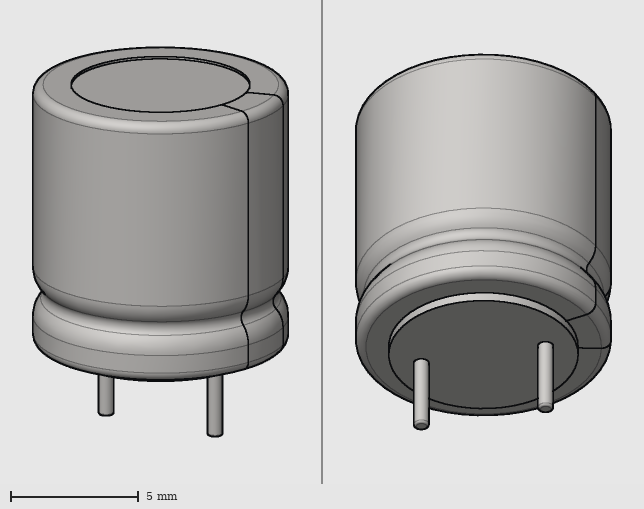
import cadquery as cq
import math


total_height = 14.0
case_diameter = 10.0
case_radius = case_diameter / 2
lead_length = 3.0

base_diameter = 7.4
base_thickness = 0.38

case_bottom = base_thickness
case_top = total_height - lead_length
rim_fillet = 0.39
can_diameter = 7.0
can_recess = 0.1

groove_depth = 0.4
groove_height = 2.5
groove_radius = 0.4
lip_radius = 1.06

stripe_angle = 30.0

lead_diameter = 0.6
lead_pitch = 5.0
lead_tip_fillet = 0.1


def make_case_envelope():
    """Outer shape of the sleeve: a filleted cylinder with a crimp groove."""
    centre_distance = lip_radius + groove_radius
    flank_angle = math.acos(1 - groove_depth / centre_distance)
    half_height = centre_distance * math.sin(flank_angle)
    floor_radius = case_radius - groove_depth
    lip_centre = case_radius - lip_radius

    joint_radius = lip_centre + lip_radius * math.cos(flank_angle)
    joint_offset = groove_radius * math.sin(flank_angle)
    lip_mid_radius = lip_centre + lip_radius * math.cos(flank_angle / 2)
    lip_mid_offset = half_height - lip_radius * math.sin(flank_angle / 2)

    profile = (
        cq.Workplane("XZ")
        .moveTo(0, case_bottom)
        .lineTo(case_radius, case_bottom)
        .lineTo(case_radius, groove_height - half_height)
        .threePointArc(
            (lip_mid_radius, groove_height - lip_mid_offset),
            (joint_radius, groove_height - joint_offset),
        )
        .threePointArc(
            (floor_radius, groove_height),
            (joint_radius, groove_height + joint_offset),
        )
        .threePointArc(
            (lip_mid_radius, groove_height + lip_mid_offset),
            (case_radius, groove_height + half_height),
        )
        .lineTo(case_radius, case_top)
        .lineTo(0, case_top)
        .close()
    )
    envelope = profile.revolve(360, (0, 0, 0), (0, 1, 0))
    return envelope.faces("<Z or >Z").edges().fillet(rim_fillet)


def make_sleeve_ring():
    """Full sleeve around the can, before the stripe is separated."""
    bore = cq.Workplane("XY").circle(can_diameter / 2).extrude(case_top)
    return make_case_envelope().cut(bore)


def make_stripe_sector():
    """Wedge on the +X side that divides the stripe from the sleeve."""
    reach = case_diameter
    half_width = reach * math.tan(math.radians(stripe_angle / 2))
    return (
        cq.Workplane("XY")
        .polyline([(0, 0), (reach, -half_width), (reach, half_width)])
        .close()
        .extrude(case_top)
    )


def make_can():
    """Aluminium can, its top slightly below the sleeve rim."""
    can_height = case_top - can_recess - case_bottom
    return cq.Workplane("XY").workplane(offset=case_bottom).circle(can_diameter / 2).extrude(can_height)


def make_base():
    """Plastic disc under the case."""
    return cq.Workplane("XY").circle(base_diameter / 2).extrude(base_thickness)


def make_lead(x):
    """Round lead below the base, with a rounded tip."""
    lead = cq.Workplane("XY").center(x, 0).circle(lead_diameter / 2).extrude(-lead_length)
    return lead.faces("<Z").edges().fillet(lead_tip_fillet)


sleeve_ring = make_sleeve_ring()
stripe_sector = make_stripe_sector()
sleeve = sleeve_ring.cut(stripe_sector)
stripe = sleeve_ring.intersect(stripe_sector)
can = make_can()
base = make_base()
leads = [make_lead(side * lead_pitch / 2) for side in (-1, 1)]

result = cq.Compound.makeCompound(
    [
        sleeve.solids().val(),
        stripe.solids().val(),
        can.solids().val(),
        base.solids().val(),
        *[lead.solids().val() for lead in leads],
    ]
)